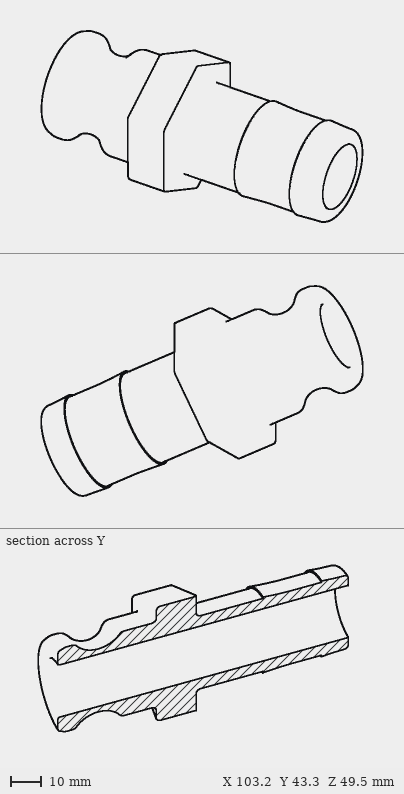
import math

import cadquery as cq


TOTAL_LENGTH = 103.19
LIP_CONE_END = 2.9
GROOVE_CENTER = 14.35
COLLAR_START = 34.925
COLLAR_LENGTH = 14.29
BARB_LENGTH = 9.6
BARB_PITCH = 20.8
BARB_COUNT = 2

BORE_DIAMETER = 22.35
BARREL_DIAMETER = 36.73
NECK_DIAMETER = 27.4
SHANK_DIAMETER = 31.75
BARB_DIAMETER = 32.9

COLLAR_SIDES = 6
COLLAR_WIDTH = 43.256
LIP_CONE_ANGLE = 20.0
GROOVE_ARC_RADIUS = 9.525

EDGE_RADIUS = 1.5875
BORE_EDGE_RADIUS = 0.76

BARREL_RADIUS = BARREL_DIAMETER / 2
SHANK_RADIUS = SHANK_DIAMETER / 2
NECK_RADIUS = NECK_DIAMETER / 2
COLLAR_END = COLLAR_START + COLLAR_LENGTH
COLLAR_MIDDLE = COLLAR_START + COLLAR_LENGTH / 2


def round_circles(body, radius, places):
    """Fillet the full circular edges found at the given (x, circle radius) places."""
    tolerance = 0.01

    def is_wanted(edge):
        if edge.geomType() != "CIRCLE":
            return False
        center = edge.arcCenter()
        off_axis = math.hypot(center.y, center.z)
        return off_axis < tolerance and any(
            abs(center.x - x) < tolerance and abs(edge.radius() - r) < tolerance for x, r in places
        )

    edges = [edge for edge in body.edges().vals() if is_wanted(edge)]
    return body.newObject(edges).fillet(radius)


def make_cam_end():
    """Lip, cam groove and barrel, ending inside the collar."""
    lip_face_radius = BARREL_RADIUS - LIP_CONE_END * math.tan(math.radians(LIP_CONE_ANGLE))
    arc_rise = NECK_RADIUS + GROOVE_ARC_RADIUS - BARREL_RADIUS
    groove_half_width = math.sqrt(GROOVE_ARC_RADIUS**2 - arc_rise**2)
    groove_start = GROOVE_CENTER - groove_half_width
    groove_end = GROOVE_CENTER + groove_half_width
    profile = (
        cq.Workplane("XY")
        .lineTo(0, lip_face_radius)
        .lineTo(LIP_CONE_END, BARREL_RADIUS)
        .lineTo(groove_start, BARREL_RADIUS)
        .threePointArc((GROOVE_CENTER, NECK_RADIUS), (groove_end, BARREL_RADIUS))
        .lineTo(COLLAR_MIDDLE, BARREL_RADIUS)
        .lineTo(COLLAR_MIDDLE, 0)
        .close()
    )
    cam_end = profile.revolve(360, (0, 0, 0), (1, 0, 0))
    rounded_circles = [
        (0, lip_face_radius),
        (LIP_CONE_END, BARREL_RADIUS),
        (groove_start, BARREL_RADIUS),
        (groove_end, BARREL_RADIUS),
    ]
    return round_circles(cam_end, EDGE_RADIUS, rounded_circles)


def make_hose_shank():
    """Plain shank with cone barbs that taper toward the hose end."""
    shank_length = TOTAL_LENGTH - COLLAR_MIDDLE
    shank = cq.Workplane("YZ", origin=(COLLAR_MIDDLE, 0, 0)).circle(SHANK_RADIUS).extrude(shank_length)
    for index in range(BARB_COUNT):
        barb_end = TOTAL_LENGTH - index * BARB_PITCH
        barb_start = barb_end - BARB_LENGTH
        barb = (
            cq.Workplane("XY")
            .moveTo(barb_start, 0)
            .lineTo(barb_start, BARB_DIAMETER / 2)
            .lineTo(barb_end, SHANK_RADIUS)
            .lineTo(barb_end, 0)
            .close()
            .revolve(360, (0, 0, 0), (1, 0, 0))
        )
        shank = shank.union(barb)
    return round_circles(shank, EDGE_RADIUS, [(TOTAL_LENGTH, SHANK_RADIUS)])


def make_collar():
    """Hexagon with corners up and down; its corners and front rim are rounded."""
    corner_diameter = COLLAR_WIDTH / math.cos(math.pi / COLLAR_SIDES)
    return (
        cq.Workplane("YZ", origin=(COLLAR_START, 0, 0))
        .transformed(rotate=(0, 0, 90))
        .polygon(COLLAR_SIDES, corner_diameter)
        .extrude(COLLAR_LENGTH)
        .edges("|X or <X")
        .fillet(EDGE_RADIUS)
    )


def cut_bore(body):
    """Through bore with a rounded mouth at the front face."""
    bore = cq.Workplane("YZ").circle(BORE_DIAMETER / 2).extrude(TOTAL_LENGTH)
    return round_circles(body.cut(bore), BORE_EDGE_RADIUS, [(0, BORE_DIAMETER / 2)])


adapter = make_cam_end().union(make_collar()).union(make_hose_shank())
adapter = round_circles(
    adapter,
    EDGE_RADIUS,
    [(COLLAR_START, BARREL_RADIUS), (COLLAR_END, SHANK_RADIUS)],
)
result = cut_bore(adapter)